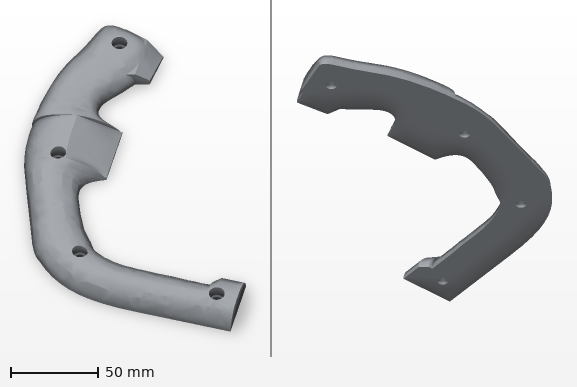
import cadquery as cq
import math

GRIP_HEIGHT = 12.7
ARM_HEIGHT = 12.9
PAD_HEIGHT = 14.0
PAD_LIP = 1.5
TAB_SHOULDER = 9.4
TAB_LIP = 1.5

END_X = 74.2
SOUTH_Y = -97.7
ARM_INNER_Y = -70.7
COLLAR_INNER_Y = -63.7
COLLAR_START_X = 56.6
COLLAR_FULL_X = 60.5
PAD_INNER_X = -23.0

HOLE_DIAMETER = 6.0
COUNTERBORE_DIAMETER = 9.0
COUNTERBORE_FLOOR = 5.9
HOLE_CENTERS = [(-39.3, 80.5), (-52.0, -7.0), (-21.5, -72.9), (62.1, -82.6)]

SLOPED = 1.5
ROUND = 2.0
FULL = 2.8
ARCH_STEPS = 8
SKIRT_DEPTH = 2.0

PAD_NORTH = ((-74.0, 17.5), (PAD_INNER_X, 26.4), PAD_HEIGHT, SLOPED)
PAD_SOUTH = ((-71.0, -11.7), (PAD_INNER_X, -8.5), PAD_HEIGHT, SLOPED)

PAD_STATIONS = [
    PAD_NORTH,
    ((-74.0, 4.9), (PAD_INNER_X, 8.8), PAD_HEIGHT, SLOPED),
    PAD_SOUTH,
]

NORTH_STATIONS = [
    ((-49.8, 97.7), (-26.4, 91.5), 5.9, FULL),
    ((-53.5, 95.1), (-22.7, 87.3), 11.0, FULL),
    ((-56.3, 88.7), (-21.3, 80.0), GRIP_HEIGHT, FULL),
    ((-62.7, 72.0), (-26.0, 62.5), GRIP_HEIGHT, FULL),
    ((-68.5, 57.0), (-36.1, 49.0), GRIP_HEIGHT, FULL),
    ((-72.5, 38.7), (-40.5, 39.5), GRIP_HEIGHT, FULL),
    ((-73.6, 27.3), (-37.1, 32.0), 13.0, 2.2),
    ((-74.0, 21.5), (-30.3, 28.7), 13.7, 1.7),
    PAD_NORTH,
]

BEND_START = ((-45.0, -75.8), (-17.2, -59.8), ARM_HEIGHT, ROUND)
ARM_START = ((39.0, SOUTH_Y), (39.0, ARM_INNER_Y), ARM_HEIGHT, ROUND)

SOUTH_STATIONS = [
    PAD_SOUTH,
    ((-68.5, -19.0), (-34.8, -16.8), 13.5, 1.7),
    ((-64.5, -30.3), (-34.8, -26.4), ARM_HEIGHT, ROUND),
    ((-58.2, -46.9), (-28.5, -41.8), 12.5, ROUND),
    ((-52.0, -64.7), (-22.5, -52.4), GRIP_HEIGHT, ROUND),
    BEND_START,
]

BEND_STATIONS = [
    BEND_START,
    ((-32.5, -86.7), (-12.1, -64.7), ARM_HEIGHT, ROUND),
    ((-14.3, -94.5), (-0.4, -68.8), ARM_HEIGHT, ROUND),
    ((13.3, SOUTH_Y), (17.5, -70.3), ARM_HEIGHT, ROUND),
    ARM_START,
]

ARM_STATIONS = [
    ARM_START,
    ((END_X, SOUTH_Y), (END_X, ARM_INNER_Y), ARM_HEIGHT, ROUND),
]

COLLAR_STATIONS = [
    ((COLLAR_START_X, SOUTH_Y), (COLLAR_START_X, -68.4), ARM_HEIGHT, ROUND),
    ((COLLAR_FULL_X, SOUTH_Y), (COLLAR_FULL_X, COLLAR_INNER_Y), ARM_HEIGHT, ROUND),
    ((END_X, SOUTH_Y), (END_X, COLLAR_INNER_Y), ARM_HEIGHT, ROUND),
]


def station_plane(outer, inner):
    """Upright plane at the outer point, with local x running to the inner point."""
    dx = inner[0] - outer[0]
    dy = inner[1] - outer[1]
    plane = cq.Plane(origin=(*outer, 0), xDir=(dx, dy, 0), normal=(dy, -dx, 0))
    return plane, math.hypot(dx, dy)


def arch_points(half_width, height, outer_exponent, inner_exponent, end_angle):
    """Superellipse points from the outer edge round to end_angle."""
    points = []
    for step in range(ARCH_STEPS + 1):
        angle = end_angle * step / ARCH_STEPS
        cosine = math.cos(angle)
        exponent = outer_exponent if cosine > 0 else inner_exponent
        across = math.copysign(abs(cosine) ** (2 / exponent), cosine)
        up = max(math.sin(angle), 0) ** (2 / exponent)
        points.append((half_width * (1 - across), height * up))
    return points


def section_wire(station, arch, lip_height=0.0):
    """Close an arch with a skirt below the parting face; a lip height adds a straight slope."""
    outer, inner = station[:2]
    plane, width = station_plane(outer, inner)
    sketch = cq.Workplane(plane).moveTo(0, -SKIRT_DEPTH).lineTo(*arch[0])
    sketch = sketch.spline(arch[1:], includeCurrent=True)
    if lip_height > 0:
        sketch = sketch.lineTo(width, lip_height)
    return sketch.lineTo(width, -SKIRT_DEPTH).close().wire().val()


def arch_wire(station, outer_exponent):
    outer, inner, height, inner_exponent = station
    half_width = math.dist(outer, inner) / 2
    arch = arch_points(half_width, height, outer_exponent, inner_exponent, math.pi)
    return section_wire(station, arch)


def pad_wire(station):
    """Rounded outer flank, then a straight slope down to the thin inner lip."""
    outer, inner, height, _ = station
    half_width = math.dist(outer, inner) / 2
    flank = arch_points(half_width, height, ROUND, ROUND, math.pi / 2)
    return section_wire(station, flank, PAD_LIP)


def trimmed_loft(wires, ruled=False):
    """Loft the sections and cut the skirt away at the parting face."""
    skirt_size = 4 * abs(SOUTH_Y)
    skirt = cq.Workplane("XY").rect(skirt_size, skirt_size).extrude(-2 * SKIRT_DEPTH)
    return cq.Workplane(cq.Solid.makeLoft(wires, ruled)).cut(skirt)


def arch_body(stations, outer_exponent, ruled=False):
    return trimmed_loft([arch_wire(station, outer_exponent) for station in stations], ruled)


def thumb_pad():
    return trimmed_loft([pad_wire(station) for station in PAD_STATIONS])


def north_tab():
    """Sloping tab on the inner side of the north end."""
    root_x = -39.0
    shoulder_x = -25.4
    tip_x = -14.8
    plan = [(root_x, 93.8), (tip_x, 86.1), (-17.4, 65.6), (-26.4, 62.9), (root_x, 58.6)]
    slope = [
        (root_x, 0),
        (root_x, TAB_SHOULDER),
        (shoulder_x, TAB_SHOULDER),
        (tip_x, TAB_LIP),
        (tip_x, 0),
    ]
    blank = cq.Workplane("XY").polyline(plan).close().extrude(TAB_SHOULDER)
    wedge = cq.Workplane("XZ").polyline(slope).close().extrude(-SOUTH_Y, both=True)
    return blank.intersect(wedge)


def screw_holes():
    floor = cq.Workplane("XY").pushPoints(HOLE_CENTERS)
    holes = floor.circle(HOLE_DIAMETER / 2).extrude(PAD_HEIGHT + SKIRT_DEPTH)
    seats = floor.circle(COUNTERBORE_DIAMETER / 2).extrude(PAD_HEIGHT)
    return holes.union(seats.translate((0, 0, COUNTERBORE_FLOOR)))


grip = arch_body(NORTH_STATIONS, FULL)
grip = grip.union(thumb_pad())
grip = grip.union(arch_body(SOUTH_STATIONS, ROUND))
grip = grip.union(arch_body(BEND_STATIONS, ROUND))
grip = grip.union(arch_body(ARM_STATIONS, ROUND, ruled=True))
grip = grip.union(arch_body(COLLAR_STATIONS, ROUND, ruled=True))
grip = grip.union(north_tab())
result = grip.cut(screw_holes())